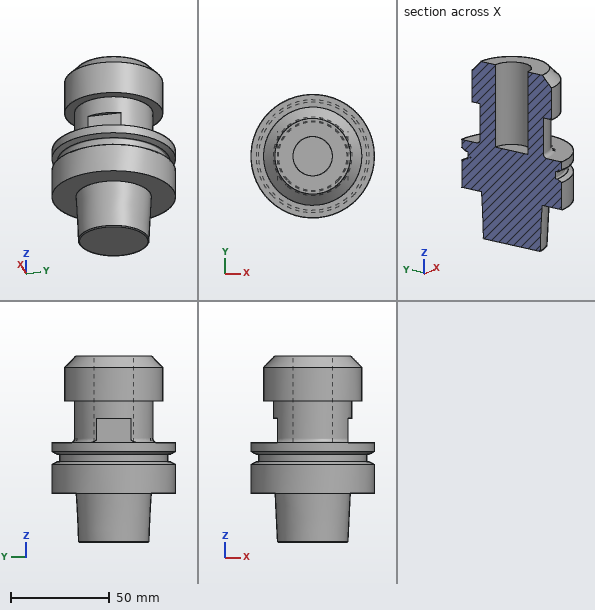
import cadquery as cq
import math

total_height = 95.0
shank_length = 25.0
flange_top = 50.8
flat_top = 63.2
nut_bottom = 72.0
nut_chamfer_height = 5.8

shank_end_diameter = 36.0
shank_top_diameter = 38.4
flange_diameter = 63.0
groove_diameter = 55.1
neck_diameter = 40.0
nut_diameter = 50.1
nut_face_diameter = 38.6
bore_diameter = 20.0

groove_floor_bottom = 41.1
groove_floor_top = 44.8
groove_lip_bottom = 39.7
groove_lip_top = 46.4
lip_diameter = 57.6

shank_chamfer = 0.6
groove_fillet = 0.3
neck_fillet = 2.0
flat_spacing = 36.0
bore_depth = 44.2


def make_body():
    """Revolve the shank, grooved flange, neck and clamping nut around Z."""
    profile = [
        (0, 0),
        (shank_end_diameter / 2 - shank_chamfer, 0),
        (shank_end_diameter / 2, shank_chamfer),
        (shank_top_diameter / 2, shank_length),
        (flange_diameter / 2, shank_length),
        (flange_diameter / 2, groove_lip_bottom),
        (lip_diameter / 2, groove_floor_bottom),
        (groove_diameter / 2, groove_floor_bottom),
        (groove_diameter / 2, groove_floor_top),
        (lip_diameter / 2, groove_floor_top),
        (flange_diameter / 2, groove_lip_top),
        (flange_diameter / 2, flange_top),
        (neck_diameter / 2 + neck_fillet, flange_top),
    ]
    outline = cq.Workplane("XZ").polyline(profile)
    arc_sag = neck_fillet * (1 - math.sqrt(0.5))
    outline = outline.threePointArc(
        (neck_diameter / 2 + arc_sag, flange_top + arc_sag),
        (neck_diameter / 2, flange_top + neck_fillet),
    )
    return (
        outline.lineTo(neck_diameter / 2, nut_bottom)
        .lineTo(nut_diameter / 2, nut_bottom)
        .lineTo(nut_diameter / 2, total_height - nut_chamfer_height)
        .lineTo(nut_face_diameter / 2, total_height)
        .lineTo(0, total_height)
        .close()
        .revolve(360, (0, 0, 0), (0, 1, 0))
    )


def round_groove_corners(body):
    """Fillet the two circular corners at the floor of the gripper groove."""
    corners = [
        edge for edge in body.edges("%CIRCLE").vals()
        if math.isclose(edge.radius(), groove_diameter / 2)
    ]
    return body.newObject(corners).fillet(groove_fillet)


def cut_wrench_flats(body):
    """Cut two parallel flats, facing -X and +X, in the lower neck."""
    flat_height = flat_top - flange_top
    for side in (-1, 1):
        cutter = cq.Workplane("XY").box(
            flange_diameter, flange_diameter, flat_height, centered=(True, True, False)
        ).translate((side * (flat_spacing + flange_diameter) / 2, 0, flange_top))
        body = body.cut(cutter)
    return body


def cut_bore(body):
    """Cut the blind tool bore down from the nut face."""
    bore = (
        cq.Workplane("XY")
        .workplane(offset=total_height - bore_depth)
        .circle(bore_diameter / 2)
        .extrude(bore_depth)
    )
    return body.cut(bore)


body = round_groove_corners(make_body())
body = cut_wrench_flats(body)
result = cut_bore(body)